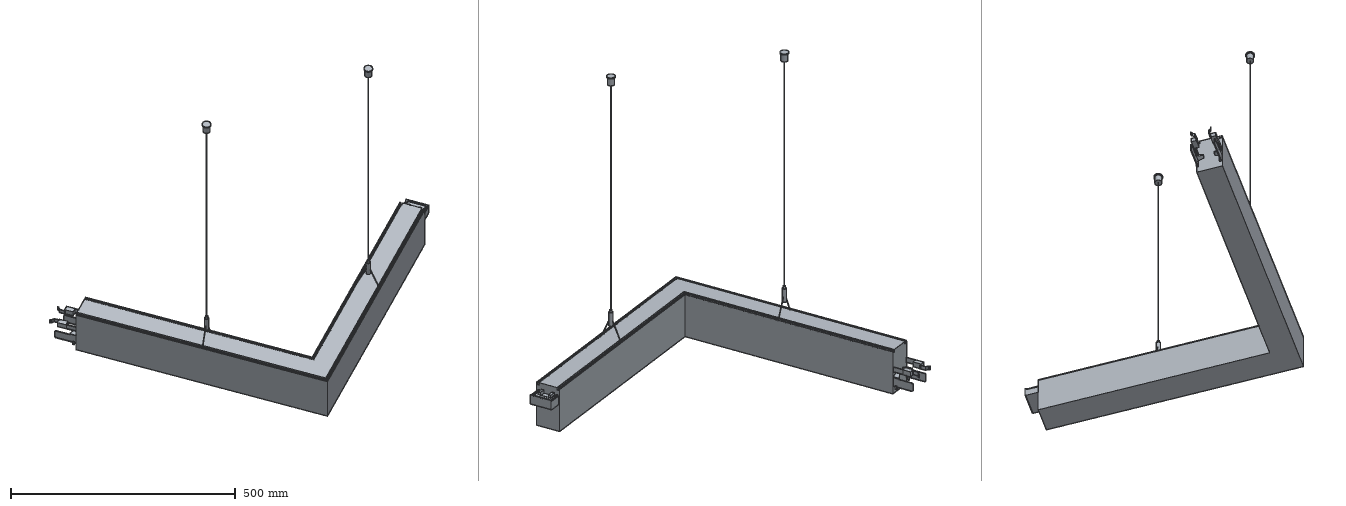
import cadquery as cq
import math

leg_length = 601.0
beam_width = 60.0
beam_height = 108.5
rim_step_inset = 1.0
rim_step_depth = 3.0
groove_near_inset = 3.0
groove_far_inset = 7.0
groove_depth = 6.0

y_leg_hanger_distance = 330.0
overall_height = 763.0
cap_diameter = 16.0
cap_height = 21.0
cap_flange_diameter = 20.0
cap_flange_thickness = 3.0
wire_diameter = 1.5
gripper_diameter = 10.0
gripper_bottom = 139.0
gripper_top = 172.0
neck_diameter = 5.7
neck_height = 6.0
bridle_top_z = 154.0
bridle_top_offset = 3.0

arm_end_x = -666.0
plate_inset = 1.5
plate_thickness = 2.0
plate_inner_y = plate_inset + plate_thickness
paddle_length = 51.0
paddle_bottom = 18.0
paddle_top = 39.0
paddle_corner_chamfer = 2.0
foot_start = 4.5
foot_length = 4.0
foot_height = 6.0
foot_inner_y = 5.0
upper_arm_length = 45.0
upper_arm_bottom = 54.0
upper_arm_top = 66.5
block_length = 20.5
block_inner_y = 14.0
spring_top = 63.0
spring_embed = 2.0
spring_bend_x = -658.0
spring_bend_y = 13.0
spring_hook_x = -662.0
spring_hook_y = 8.0
spring_end_y = 6.0
spring_thickness = 1.5
spring_slot_length = 3.0
spring_slot_height = 3.0
lug_length = 15.0
lug_tip_length = 8.0
lug_inner_y = 17.5
lug_top = 48.0
lug_thickness = 4.0

plug_end_y = 633.0
plug_side_inset = 3.0
plug_bottom = 66.5
plug_deck = 88.0
plug_corner_chamfer = 2.0
plug_lip_top = 91.0
plug_lip_inset = 1.5
plug_lip_width = 4.0
plug_latch_top = 94.0
plug_latch_length = 16.0
plug_latch_width = 6.0
plug_latch_inset = 11.0
plug_bar_length = 3.0
plug_recess_length = 16.0
plug_recess_depth = 2.0


def box(x0, x1, y0, y1, z0, z1):
    """Box given by its limits along each axis."""
    return cq.Workplane("XY").box(x1 - x0, y1 - y0, z1 - z0, centered=False).translate((x0, y0, z0))


def cylinder(center, diameter, z0, z1):
    """Upright cylinder on the given (x, y) axis."""
    return cq.Workplane("XY", origin=(*center, z0)).circle(diameter / 2).extrude(z1 - z0)


def l_prism(inset, z0, z1):
    """L-shaped prism with its long sides moved inward by inset; the leg ends stay put."""
    near = inset
    far = beam_width - inset
    outline = [
        (-leg_length, near),
        (-near, near),
        (-near, leg_length),
        (-far, leg_length),
        (-far, far),
        (-leg_length, far),
    ]
    return cq.Workplane("XY", origin=(0, 0, z0)).polyline(outline).close().extrude(z1 - z0)


def rim_band(near_inset, far_inset, depth):
    """Material between two insets, reaching down from the top of the beam."""
    z0 = beam_height - depth
    return l_prism(near_inset, z0, beam_height).cut(l_prism(far_inset, z0, beam_height))


def make_beam():
    beam = l_prism(0, 0, beam_height)
    beam = beam.cut(rim_band(0, rim_step_inset, rim_step_depth))
    return beam.cut(rim_band(groove_near_inset, groove_far_inset, groove_depth))


def bridle_wire(center, direction):
    """Slanted wire from the gripper down to the outer wall of one groove of the beam."""
    foot_offset = beam_width / 2 - groove_near_inset
    foot_z = beam_height - groove_depth - wire_diameter
    dx, dy = direction
    run = foot_offset - bridle_top_offset
    drop = foot_z - bridle_top_z
    top_x = center[0] + dx * bridle_top_offset
    top_y = center[1] + dy * bridle_top_offset
    start = cq.Vector(top_x, top_y, bridle_top_z)
    axis = cq.Vector(dx * run, dy * run, drop)
    wire = cq.Solid.makeCylinder(wire_diameter / 2, math.hypot(run, drop), start, axis)
    return cq.Workplane(obj=wire)


def make_suspension(center, spread):
    """Ceiling cap, wire, gripper and bridle; spread is the direction across the beam."""
    cap_bottom = overall_height - cap_height
    flange_bottom = overall_height - cap_flange_thickness
    neck_top = gripper_top + neck_height
    sections = [
        (cap_flange_diameter, flange_bottom, overall_height),
        (cap_diameter, cap_bottom, flange_bottom),
        (wire_diameter, neck_top, cap_bottom),
        (neck_diameter, gripper_top, neck_top),
        (gripper_diameter, gripper_bottom, gripper_top),
    ]
    diameter, z0, z1 = sections[0]
    suspension = cylinder(center, diameter, z0, z1)
    for diameter, z0, z1 in sections[1:]:
        suspension = suspension.union(cylinder(center, diameter, z0, z1))
    for side in (1, -1):
        suspension = suspension.union(bridle_wire(center, (side * spread[0], side * spread[1])))
    return suspension


def make_lower_paddle():
    """Flat tongue with a small foot under it."""
    tip_x = -leg_length - paddle_length
    paddle = box(tip_x, -leg_length, plate_inset, plate_inner_y, paddle_bottom, paddle_top)
    paddle = paddle.edges("|Y and <X").chamfer(paddle_corner_chamfer)
    foot_x = -leg_length - foot_start
    foot = box(
        foot_x - foot_length, foot_x, plate_inset, foot_inner_y,
        paddle_bottom - foot_height, paddle_bottom + plate_thickness,
    )
    return paddle.union(foot)


def make_lug():
    """Sloping lug that rises inward from the paddle, tapered in plan toward its free end."""
    slope = [
        (plate_inset, paddle_top),
        (plate_inset, paddle_top + lug_thickness),
        (lug_inner_y, lug_top),
        (lug_inner_y, lug_top - lug_thickness),
        (plate_inner_y, paddle_top),
    ]
    plan = [
        (-leg_length, plate_inset),
        (-leg_length, lug_inner_y),
        (-leg_length - lug_tip_length, lug_inner_y),
        (-leg_length - lug_length, plate_inset),
    ]
    lug = cq.Workplane("YZ", origin=(-leg_length, 0, 0)).polyline(slope).close().extrude(-lug_length)
    return lug.intersect(cq.Workplane("XY").polyline(plan).close().extrude(beam_height))


def make_upper_arm():
    """Thin arm with a contact block and a bent, forked spring at its end."""
    tip_x = -leg_length - upper_arm_length
    arm = box(tip_x, -leg_length, plate_inset, plate_inner_y, upper_arm_bottom, upper_arm_top)
    block = box(tip_x, tip_x + block_length, plate_inner_y, block_inner_y, upper_arm_bottom, upper_arm_top)
    spring_front = [
        (tip_x + spring_embed, block_inner_y),
        (spring_bend_x, spring_bend_y),
        (spring_hook_x, spring_hook_y),
        (arm_end_x, spring_end_y),
    ]
    spring_back = [(x, y + spring_thickness) for x, y in reversed(spring_front)]
    spring = (
        cq.Workplane("XY", origin=(0, 0, upper_arm_bottom))
        .polyline(spring_front + spring_back)
        .close()
        .extrude(spring_top - upper_arm_bottom)
    )
    slot_bottom = (upper_arm_bottom + spring_top - spring_slot_height) / 2
    slot = box(
        arm_end_x, arm_end_x + spring_slot_length, 0, block_inner_y,
        slot_bottom, slot_bottom + spring_slot_height,
    )
    return arm.union(block).union(spring.cut(slot))


def make_contacts():
    """Contact parts on both sides of the -X end, mirrored about the leg's middle plane."""
    one_side = make_lower_paddle().union(make_lug()).union(make_upper_arm())
    return one_side.union(one_side.mirror("XZ", (0, beam_width / 2, 0)))


def make_plug():
    """Plug body with a raised end bar, side lips, two latches and a recess between them."""
    left = plug_side_inset - beam_width
    right = -plug_side_inset
    plug = box(left, right, leg_length, plug_end_y, plug_bottom, plug_deck)
    plug = plug.edges("|X and >Y and <Z").chamfer(plug_corner_chamfer)
    bar_y = plug_end_y - plug_bar_length
    plug = plug.union(box(left, right, bar_y, plug_end_y, plug_deck, plug_lip_top))
    lip_x = left + plug_lip_inset
    lip = box(lip_x, lip_x + plug_lip_width, leg_length, plug_end_y, plug_deck, plug_lip_top)
    latch_x = left + plug_latch_inset
    latch = box(
        latch_x, latch_x + plug_latch_width, leg_length, leg_length + plug_latch_length,
        plug_deck, plug_latch_top,
    )
    recess_inset = plug_latch_inset + plug_latch_width
    recess = box(
        left + recess_inset, right - recess_inset, leg_length, leg_length + plug_recess_length,
        plug_deck - plug_recess_depth, plug_deck,
    )
    plug = plug.cut(recess)
    raised = lip.union(latch)
    return plug.union(raised).union(raised.mirror("YZ", (-beam_width / 2, 0, 0)))


x_leg_hanger = (-leg_length / 2, beam_width / 2)
y_leg_hanger = (-beam_width / 2, y_leg_hanger_distance)

result = make_beam().union(make_contacts()).union(make_plug())
result = result.union(make_suspension(x_leg_hanger, (0, 1)))
result = result.union(make_suspension(y_leg_hanger, (1, 0)))